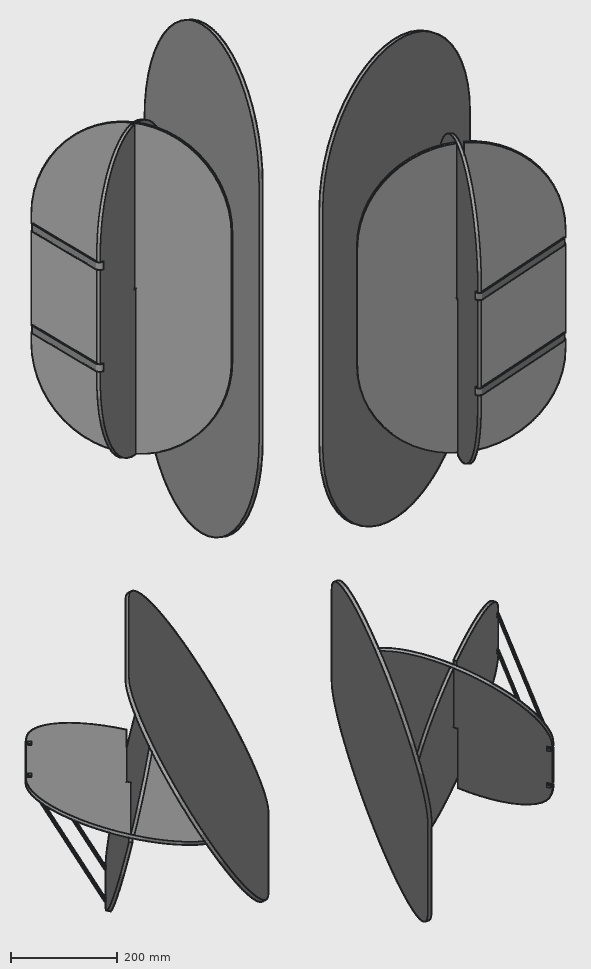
import cadquery as cq
import math

top_length = 1000.0
top_width = 500.0
top_thickness = 8.0
leg_height = 650.0
leg_width = 400.0
leg_thickness = 7.0
leg_angle = 45.0
cross_offset = 6.0
slot_width = 15.0
bar_height = 15.0
bar_thickness = 3.0
bar_spacing = 200.0
hook_setback = 2.0
bend_radius = 1.0
lip_length = 8.0

foot_reach = leg_width / 2 + cross_offset
head_reach = leg_width / 2 - cross_offset
leg_rise = math.sin(math.radians(leg_angle))
leg_run = math.cos(math.radians(leg_angle))
top_front = head_reach * leg_rise + leg_thickness / 2 * leg_run
strap_depth = foot_reach * leg_rise + leg_thickness / 2 * leg_run
hook_reach = foot_reach - hook_setback
hook_offset = leg_thickness / 2 + bar_thickness
half_turn = 180.0
bar_levels = (-bar_spacing / 2, bar_spacing / 2)


def stadium_panel(width, height, thickness):
    """Upright round-ended panel centred on the origin, its thickness along Y."""
    return (
        cq.Workplane("XZ")
        .slot2D(height, width, 90)
        .extrude(thickness / 2, both=True)
    )


def make_tabletop():
    panel = stadium_panel(top_width, top_length, top_thickness)
    return panel.translate((0, top_front + top_thickness / 2, 0))


def leg_point(reach, offset):
    """Plan point of the right-hand panel: reach towards its foot, offset outwards from its mid-plane."""
    return (reach * leg_run + offset * leg_rise, -reach * leg_rise + offset * leg_run)


def strap_corner(reach, depth):
    """Plan point where a line across the panel at this reach meets the strap face at this depth."""
    offset = (reach * leg_rise - depth) / leg_run
    return leg_point(reach, offset)


def hook_profile(inset):
    """Bar surface from the strap's end to the lip's tip, moved inwards by the inset."""
    return [
        strap_corner(hook_reach - inset, strap_depth - inset),
        leg_point(hook_reach - inset, hook_offset - inset),
        leg_point(hook_reach - lip_length, hook_offset - inset),
    ]


def make_bar(level):
    """Flat strap between the panel feet; each end bends round a panel edge onto its outer face."""
    outer_side = hook_profile(0)
    inner_side = hook_profile(bar_thickness)
    right_half = outer_side + inner_side[::-1]
    left_half = [(-x, y) for x, y in reversed(right_half)]
    bar = (
        cq.Workplane("XY")
        .polyline(right_half + left_half)
        .close()
        .extrude(bar_height / 2, both=True)
    )

    for side, radius in ((outer_side, bend_radius + bar_thickness), (inner_side, bend_radius)):
        for x, y in side[:2]:
            for bend_x in (-x, x):
                bar = bar.edges(cq.selectors.NearestToPointSelector((bend_x, y, 0))).fillet(radius)

    return bar.translate((0, 0, level))


def make_leg(angle, slot_side, bars):
    """Panel with its foot at this angle about Z; slot_side +1 slots the upper half, -1 the lower."""
    panel = stadium_panel(leg_width, leg_height, leg_thickness).translate((cross_offset, 0, 0))

    slot = (
        cq.Workplane("XY")
        .box(slot_width, leg_thickness, leg_height / 2)
        .translate(((slot_width - leg_thickness) / 2, 0, slot_side * leg_height / 4))
    )
    panel = panel.cut(slot)

    for level in bar_levels:
        notch = (
            cq.Workplane("XY")
            .box(leg_thickness, leg_thickness, bar_height, centered=(False, True, True))
            .translate((hook_reach - bar_thickness, 0, level))
        )
        panel = panel.cut(notch)
    panel = panel.rotate((0, 0, 0), (0, 0, 1), angle)

    for bar in bars:
        panel = panel.cut(bar)
    return panel


tabletop = make_tabletop()
bars = [make_bar(level) for level in bar_levels]
upper_slot_leg = make_leg(-leg_angle, 1, bars)
lower_slot_leg = make_leg(-half_turn + leg_angle, -1, bars)

result = cq.Compound.makeCompound(
    [tabletop.val(), upper_slot_leg.val(), lower_slot_leg.val(), *[bar.val() for bar in bars]]
)